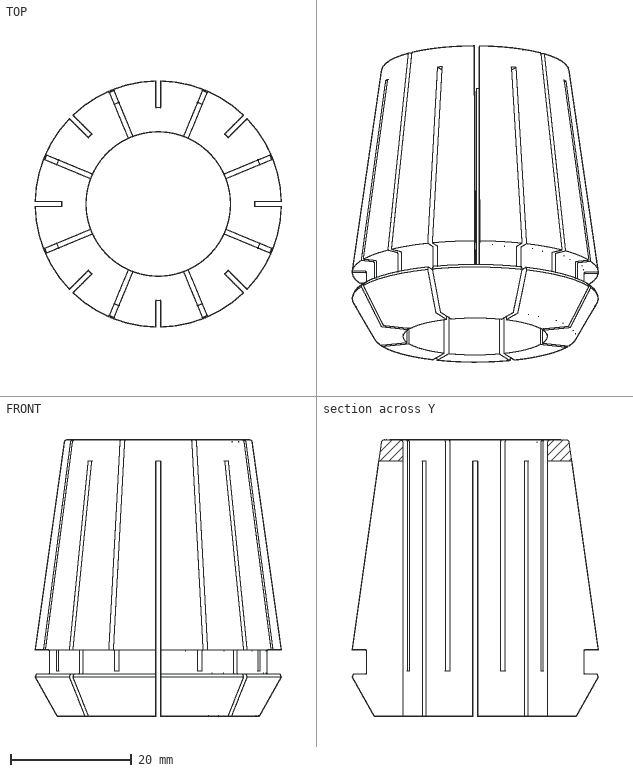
import cadquery as cq
import math

height = 46.0
max_diameter = 41.0
bore_diameter = 24.0

base_diameter = 33.65
head_rim_height = 6.55
head_height = 7.05
head_rim_step = 0.25
base_edge_fillet = 0.2

groove_diameter = 36.25
groove_root_fillet = 0.2
taper_start_height = 11.05

taper_half_angle = 8.0
nose_fillet = 0.45

slits_per_side = 8
slit_width = 0.85
lower_slit_top = 42.45
upper_slit_floor = 7.5

max_radius = max_diameter / 2
bore_radius = bore_diameter / 2
groove_radius = groove_diameter / 2
taper_length = height - taper_start_height
nose_radius = max_radius - taper_length * math.tan(math.radians(taper_half_angle))
radius_tolerance = 0.005
slit_pitch = 360.0 / slits_per_side


def is_groove_root(edge):
    """True for the circles at the bottom and top corners of the groove."""
    return math.isclose(edge.radius(), groove_radius, abs_tol=radius_tolerance)


def revolved_body():
    """Half section from the bore outwards, turned about Z, then its edges rounded."""
    section = (
        cq.Workplane("XZ")
        .moveTo(bore_radius, 0)
        .lineTo(base_diameter / 2, 0)
        .lineTo(max_radius, head_rim_height)
        .lineTo(max_radius - head_rim_step, head_height)
        .lineTo(groove_radius, head_height)
        .lineTo(groove_radius, taper_start_height)
        .lineTo(max_radius, taper_start_height)
        .lineTo(nose_radius, height)
        .lineTo(bore_radius, height)
        .close()
    )
    body = section.revolve(360, (0, 0, 0), (0, 1, 0))
    body = body.faces(">Z").edges().fillet(nose_fillet)
    body = body.faces("<Z").edges(cq.selectors.RadiusNthSelector(-1)).fillet(base_edge_fillet)
    return body.edges("%CIRCLE").filter(is_groove_root).fillet(groove_root_fillet)


def cut_slits(body, bottom, top, first_angle):
    """Cut evenly spaced radial slits through the wall between two heights."""
    for index in range(slits_per_side):
        slit = (
            cq.Workplane("XY", origin=(0, 0, bottom))
            .box(max_diameter, slit_width, top - bottom, centered=(False, True, False))
            .rotate((0, 0, 0), (0, 0, 1), first_angle + index * slit_pitch)
        )
        body = body.cut(slit)
    return body


lower_slitted = cut_slits(revolved_body(), 0, lower_slit_top, 0)
result = cut_slits(lower_slitted, upper_slit_floor, height, slit_pitch / 2)